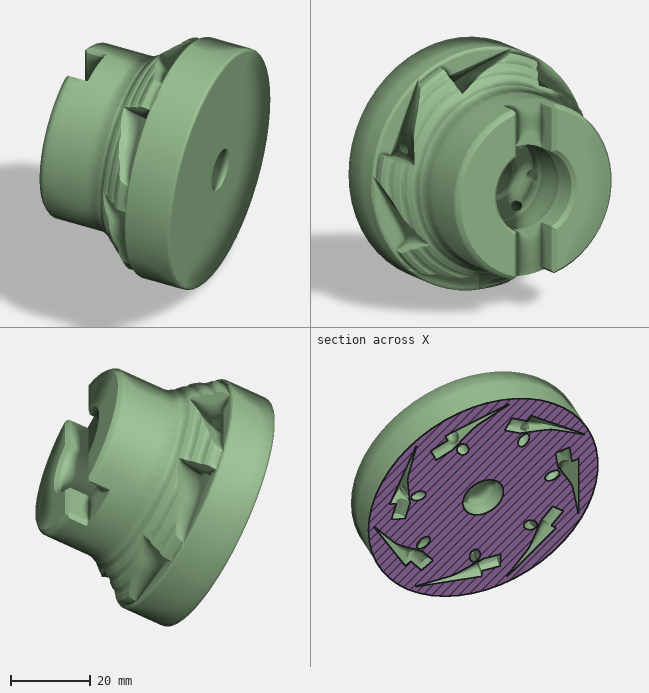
import math

import cadquery as cq

length = 40.0
flange_radius = 63.0 / 2
flange_start = 27.5
flange_round = 0.8

hub_radius = 22.95
hub_face_radius = 21.85
hub_cone_end = (0.6, 22.4)
hub_round_middle = (1.0, 22.73)
hub_round_end = 1.6
neck_start = 14.2
neck_radius = 30.5
neck_flare_middle = (15.7, 23.2)
neck_flare_end = (17.1, 23.9)
neck_steps = (
    ((18.2, 24.25), (18.75, 25.0), (19.85, 26.0)),
    ((20.8, 26.4), (21.35, 27.3), (22.6, 28.3)),
    ((23.6, 28.75), (24.05, 29.65), (25.05, neck_radius)),
)

bore_radius = 11.0
bore_depth = 20.0
relief_start = 7.5
relief_end = 16.3
relief_taper = 1.0
relief_radius = 11.25
bolt_hole_radius = 5.5
edge_chamfer = 1.0
slot_width = 10.4
slot_depth = 6.3

pocket_angles = (0, 52, 105, 157, 208, 261, 311)
floor_arc_radius = 17.0
floor_lowest_x = 30.0
floor_lowest_radius = 20.5
floor_start_tangent = 3.1
steep_angle = 27.0
shallow_angle = 9.0
steep_length = 6.9
blend_radius = 10.8
shallow_length = 20.0
overrun = 6.0
wall_point = (18.7, 25.0, 4.2)
wall_radial_lean = 0.13
wall_axial_lean = 0.065
undercut_radius = 26.9
undercut_angle = 48.0

coolant_radius = 1.4
coolant_inner = (18.4, 9.3, -1.5)
coolant_outer = (32.0, 22.4, 1.5)

screw_hole_radius = 1.9
screw_hole_depth = 5.0
screw_hole_x = 28.2
screw_hole_radial = 22.4

clearance = 100.0


def build_body():
    """Turned outside shape: hub, neck of alternating hollows and cones, flange."""
    profile = (
        cq.Workplane("XY")
        .moveTo(0, 0)
        .lineTo(0, hub_face_radius)
        .lineTo(*hub_cone_end)
        .threePointArc(hub_round_middle, (hub_round_end, hub_radius))
        .lineTo(neck_start, hub_radius)
        .threePointArc(neck_flare_middle, neck_flare_end)
    )
    for hollow_middle, hollow_end, cone_end in neck_steps:
        profile = profile.threePointArc(hollow_middle, hollow_end).lineTo(*cone_end)
    return (
        profile
        .lineTo(flange_start, neck_radius)
        .lineTo(flange_start, flange_radius - flange_round)
        .radiusArc((flange_start + flange_round, flange_radius), flange_round)
        .lineTo(length - flange_round, flange_radius)
        .radiusArc((length, flange_radius - flange_round), flange_round)
        .lineTo(length, 0)
        .close()
        .revolve(360, (0, 0, 0), (1, 0, 0))
    )


def build_bore():
    """Arbor bore with a shallow relief, stepping down to the bolt hole."""
    return (
        cq.Workplane("XY")
        .moveTo(0, 0)
        .lineTo(0, bore_radius + edge_chamfer)
        .lineTo(edge_chamfer, bore_radius)
        .lineTo(relief_start, bore_radius)
        .lineTo(relief_start, relief_radius)
        .lineTo(relief_end, relief_radius)
        .lineTo(relief_end + relief_taper, bore_radius)
        .lineTo(bore_depth, bore_radius)
        .lineTo(bore_depth, bolt_hole_radius + edge_chamfer)
        .lineTo(bore_depth + edge_chamfer, bolt_hole_radius)
        .lineTo(length, bolt_hole_radius)
        .lineTo(length, 0)
        .close()
        .revolve(360, (0, 0, 0), (1, 0, 0))
    )


def build_slot():
    """Driving slot along Z with chamfered mouth and chamfered outer corners."""
    half = slot_width / 2
    mouth = (
        cq.Workplane("XY")
        .moveTo(0, -half - edge_chamfer)
        .lineTo(edge_chamfer, -half)
        .lineTo(slot_depth, -half)
        .lineTo(slot_depth, half)
        .lineTo(edge_chamfer, half)
        .lineTo(0, half + edge_chamfer)
        .close()
        .extrude(hub_radius + overrun, both=True)
    )
    corner_z = math.sqrt(hub_radius ** 2 - (half + edge_chamfer) ** 2)
    flare_end = corner_z + overrun
    for side in (1, -1):
        flare = (
            cq.Workplane("YZ")
            .moveTo(-half, side * (corner_z - edge_chamfer))
            .lineTo(half, side * (corner_z - edge_chamfer))
            .lineTo(half + edge_chamfer, side * corner_z)
            .lineTo(half + edge_chamfer, side * flare_end)
            .lineTo(-half - edge_chamfer, side * flare_end)
            .lineTo(-half - edge_chamfer, side * corner_z)
            .close()
            .extrude(slot_depth)
        )
        mouth = mouth.union(flare)
    return mouth


def build_floor_sweep():
    """Half disc swept along a line, arc and line; its round side forms the floor."""
    steep = math.radians(steep_angle)
    shallow = math.radians(shallow_angle)
    start_y = -floor_lowest_radius + overrun * math.sin(steep)
    start_z = floor_start_tangent + overrun * math.cos(steep)
    first = overrun + steep_length
    steep_end = (start_y - first * math.sin(steep), start_z - first * math.cos(steep))

    def blend_point(angle):
        return (
            steep_end[0] + blend_radius * (math.cos(steep) - math.cos(angle)),
            steep_end[1] - blend_radius * (math.sin(steep) - math.sin(angle)),
        )

    blend_end = blend_point(shallow)
    path = (
        cq.Workplane("YZ", origin=(floor_lowest_x, 0, 0))
        .moveTo(start_y, start_z)
        .lineTo(*steep_end)
        .threePointArc(blend_point((steep + shallow) / 2), blend_end)
        .lineTo(
            blend_end[0] - shallow_length * math.sin(shallow),
            blend_end[1] - shallow_length * math.cos(shallow),
        )
    )
    profile_plane = cq.Plane(
        origin=(floor_lowest_x, start_y, start_z),
        xDir=(1, 0, 0),
        normal=(0, -math.sin(steep), -math.cos(steep)),
    )
    return (
        cq.Workplane(profile_plane)
        .moveTo(-floor_arc_radius, floor_arc_radius)
        .threePointArc((0, 0), (floor_arc_radius, floor_arc_radius))
        .close()
        .sweep(path)
    )


def wall_plane(x, radial):
    """Plane of the leaning pocket wall, centred at the given X and radial distance."""
    tangential = (
        wall_point[2]
        + wall_radial_lean * (radial - wall_point[1])
        - wall_axial_lean * (x - wall_point[0])
    )
    return cq.Plane(
        origin=(x, -radial, tangential),
        xDir=(1, 0, -wall_axial_lean),
        normal=(wall_axial_lean, wall_radial_lean, 1),
    )


def build_pocket():
    """Pocket floor sweep, limited by the flange face with its undercut and the wall."""
    depth = undercut_radius - bore_radius
    undercut_x = flange_start + depth * math.tan(math.radians(undercut_angle))
    end_limit = (
        cq.Workplane("XY")
        .moveTo(0, -bore_radius)
        .lineTo(undercut_x, -bore_radius)
        .lineTo(flange_start, -undercut_radius)
        .lineTo(flange_start, -clearance)
        .lineTo(0, -clearance)
        .close()
        .extrude(clearance, both=True)
    )
    wall_limit = (
        cq.Workplane(wall_plane(wall_point[0], wall_point[1]))
        .rect(2 * clearance, 2 * clearance)
        .extrude(-clearance)
    )
    return build_floor_sweep().intersect(end_limit).intersect(wall_limit)


def build_coolant_hole():
    """Slanting hole from the corner of the arbor bore to the pocket floor."""
    start = cq.Vector(coolant_inner[0], -coolant_inner[1], coolant_inner[2])
    end = cq.Vector(coolant_outer[0], -coolant_outer[1], coolant_outer[2])
    axis = end - start
    return cq.Workplane(
        cq.Solid.makeCylinder(coolant_radius, axis.Length, start, axis)
    )


def build_screw_hole():
    """Blind hole sunk into the pocket wall."""
    return (
        cq.Workplane(wall_plane(screw_hole_x, screw_hole_radial))
        .circle(screw_hole_radius)
        .extrude(screw_hole_depth)
    )


result = build_body().cut(build_bore()).cut(build_slot())
pocket = build_pocket()
coolant_hole = build_coolant_hole()
screw_hole = build_screw_hole()
for angle in pocket_angles:
    for cutter in (pocket, coolant_hole, screw_hole):
        result = result.cut(cutter.rotate((0, 0, 0), (1, 0, 0), -angle))